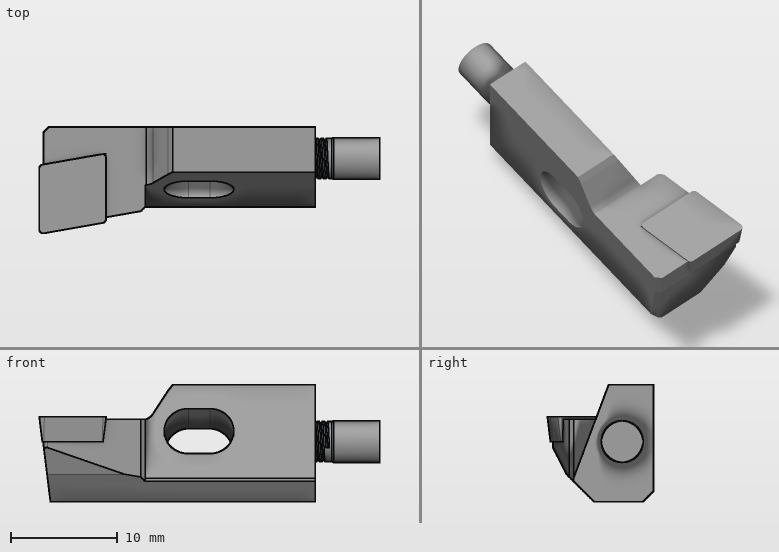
import cadquery as cq
import math



def tan(degrees):
    return math.tan(math.radians(degrees))


total_length = 32.0
total_width = 10.0
total_height = 11.0

insert_size = 6.3
insert_thickness = 2.38
insert_top = 8.0
insert_clearance = 7.0
edge_slant = 10.0
nose_radius = 0.4
insert_back_depth = 3.58
nose_corner_angle = 90 - edge_slant
nose_setback = nose_radius * (1 / math.tan(math.radians(nose_corner_angle / 2)) - 1)
insert_front_depth = total_width + nose_setback

head_top = 7.75
head_end = 9.95
head_start = 0.39
head_end_chamfer = 0.4
head_corner_radius = 0.3
head_back_chamfer = 0.5
head_relief_top = 5.4
head_relief_angle = 7.0

body_end = 25.95
body_depth = 7.52
front_lean = 20.5
front_lean_bottom = 2.23
bottom_depth = 5.6
bevel_bend_height = 2.6
facet_angle = 27.0
back_bottom_chamfer = 1.0

shoulder_foot_start = 10.05
shoulder_foot_end = (10.67, 8.24)
shoulder_slope_end = (12.1, 10.43)
shoulder_top_start = 12.55

slot_width = 4.5
slot_first_center = 14.0
slot_last_center = 16.03
slot_center_height = 6.64

screw_depth = 2.96
screw_height = 5.65
screw_head_diameter = 3.93
screw_shank_diameter = 3.8
screw_cone_start = 27.5
screw_head_start = 27.67
thread_end = 27.1
thread_pitch = 0.5
thread_depth = 0.2
thread_groove_width = 0.4
thread_overcut = 0.05
thread_hidden_length = 1.0


def rhombic_block(corner_radius):
    """Rhombic block standing on its smaller face, with conical corners or, for radius 0, sharp ones."""
    slant_rise = insert_size * tan(edge_slant)
    outline = [
        (0, -insert_front_depth),
        (insert_size, slant_rise - insert_front_depth),
        (insert_size, slant_rise - insert_back_depth),
        (0, -insert_back_depth),
    ]
    top_face = cq.Sketch().polygon(outline + outline[:1])
    if corner_radius > 0:
        top_face = top_face.vertices().fillet(corner_radius)
    return (
        cq.Workplane("XY").workplane(offset=insert_top)
        .placeSketch(top_face)
        .extrude(-insert_thickness, taper=insert_clearance)
    )


def make_insert():
    return rhombic_block(nose_radius)


def head_blank():
    """Head in plan: square at the back, slanted flank and rounded nose."""
    flank_end = head_end - head_end_chamfer
    flank_end_depth = body_depth + head_end_chamfer
    nose_depth = flank_end_depth + (flank_end - head_start) * tan(edge_slant)
    outline = [
        (head_start, 0),
        (head_end, 0),
        (head_end, -body_depth),
        (flank_end, -flank_end_depth),
        (head_start, -nose_depth),
    ]
    blank = cq.Workplane("XY").polyline(outline).close().extrude(head_top)
    return blank.edges("|Z and <Y").fillet(head_corner_radius)


def head_section():
    """Cross-section of the head, bevelled at 45 degrees and then more steeply."""
    bend_depth = bottom_depth + bevel_bend_height
    top_depth = bend_depth + (head_top - bevel_bend_height) * tan(facet_angle)
    outline = [
        (0, back_bottom_chamfer),
        (-back_bottom_chamfer, 0),
        (-bottom_depth, 0),
        (-bend_depth, bevel_bend_height),
        (-top_depth, head_top),
        (0, head_top),
    ]
    return cq.Workplane("YZ").polyline(outline).close().extrude(head_end)


def head_relief():
    """Wedge that leans the lower part of the left face back."""
    setback = head_relief_top * tan(head_relief_angle)
    outline = [
        (head_start, head_relief_top),
        (head_start + setback, 0),
        (head_start, 0),
    ]
    return cq.Workplane("XZ").polyline(outline).close().extrude(total_width)


def make_head():
    relieved = head_blank().cut(head_relief())
    back_corner = relieved.faces(">Y").edges("not(|X or >X)")
    return back_corner.chamfer(head_back_chamfer).intersect(head_section())


def body_section():
    """Cross-section of the body with its leaning front face."""
    top_depth = body_depth - (total_height - front_lean_bottom) * tan(front_lean)
    outline = [
        (0, back_bottom_chamfer),
        (-back_bottom_chamfer, 0),
        (-bottom_depth, 0),
        (-body_depth, body_depth - bottom_depth),
        (-body_depth, front_lean_bottom),
        (-top_depth, total_height),
        (0, total_height),
    ]
    return (
        cq.Workplane("YZ").workplane(offset=head_end)
        .polyline(outline).close().extrude(body_end - head_end)
    )


def shoulder_profile():
    """Side outline of the body: a concave foot, a slope and a bevel up to the top."""
    return (
        cq.Workplane("XZ")
        .moveTo(*shoulder_slope_end)
        .lineTo(*shoulder_foot_end)
        .tangentArcPoint((shoulder_foot_start, head_top), relative=False)
        .lineTo(head_end, head_top)
        .lineTo(head_end, 0)
        .lineTo(body_end, 0)
        .lineTo(body_end, total_height)
        .lineTo(shoulder_top_start, total_height)
        .close()
        .extrude(total_width)
    )


def clamping_slot():
    """Slot through the body, square to the leaning front face."""
    center_depth = body_depth - (slot_center_height - front_lean_bottom) * tan(front_lean)
    lean = math.radians(front_lean)
    slot_plane = cq.Plane(
        origin=((slot_first_center + slot_last_center) / 2, -center_depth, slot_center_height),
        xDir=(1, 0, 0),
        normal=(0, -math.cos(lean), math.sin(lean)),
    )
    slot_length = slot_last_center - slot_first_center + slot_width
    return (
        cq.Workplane(slot_plane)
        .slot2D(slot_length, slot_width)
        .extrude(total_width, both=True)
    )


def thread_groove():
    """Helical V-groove that stops at the end of the threaded shank."""
    shank_radius = screw_shank_diameter / 2
    start = body_end - thread_hidden_length
    helix_center = cq.Vector(start, -screw_depth, screw_height)
    along = cq.Vector(1, 0, 0)
    helix = cq.Wire.makeHelix(
        thread_pitch,
        thread_end - start,
        shank_radius,
        center=helix_center,
        dir=along,
    )
    first_point = helix.startPoint()
    outward = (first_point - helix_center).normalized()
    groove_plane = cq.Plane(origin=first_point, xDir=along, normal=along.cross(outward))
    half_width = thread_groove_width / 2
    return (
        cq.Workplane(groove_plane)
        .polyline([(-half_width, thread_overcut), (half_width, thread_overcut), (0, -thread_depth)])
        .close()
        .sweep(cq.Workplane(obj=helix), isFrenet=True)
    )


def make_screw():
    """Shank, cone and head turned about the screw axis."""
    shank_radius = screw_shank_diameter / 2
    head_radius = screw_head_diameter / 2
    start = body_end - thread_hidden_length
    screw = (
        cq.Workplane("XY")
        .polyline([
            (start, 0),
            (start, shank_radius),
            (screw_cone_start, shank_radius),
            (screw_head_start, head_radius),
            (total_length, head_radius),
            (total_length, 0),
        ])
        .close()
        .revolve(axisStart=(0, 0), axisEnd=(1, 0))
        .translate((0, -screw_depth, screw_height))
    )
    return screw.cut(thread_groove())


def make_holder():
    body = body_section().intersect(shoulder_profile()).cut(clamping_slot())
    return make_head().union(body).union(make_screw()).cut(rhombic_block(corner_radius=0))


holder = make_holder()
insert = make_insert()

result = cq.Compound.makeCompound([holder.val(), insert.val()])